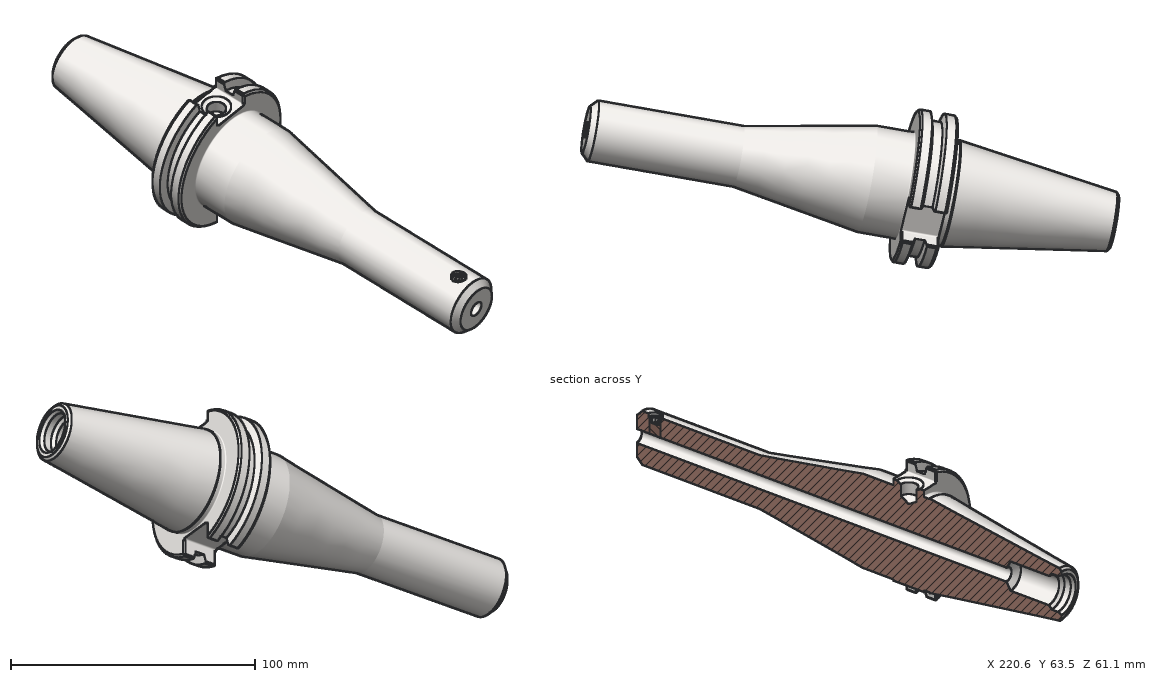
import cadquery as cq
import math

overall_length = 220.6
taper_length = 68.5
flange_start = 71.5
flange_end = 87.4
groove_middle = 79.5
neck_end = 103.3
reducer_end = 156.9

taper_large_diameter = 44.4
taper_ratio = 7 / 24
taper_small_diameter = taper_large_diameter - taper_length * taper_ratio
taper_tip_chamfer = 1.0
relief_diameter = 44.0
relief_start = taper_length + 0.5
neck_diameter = 44.4
root_fillet = 0.5
shank_diameter = 25.4
nose_chamfer = 2.9

flange_diameter = 63.5
flange_chamfer = 0.9
groove_floor_diameter = 56.3
groove_floor_width = 4.0
groove_mouth_width = 6.2

slot_width = 16.0
slot_edge_chamfer = 0.7
upper_slot_floor = 25.0
lower_slot_floor = 22.7
slot_corner_radius = 0.7

seat_rim_diameter = 12.1
seat_diameter = 10.1
seat_drill_diameter = 8.0
seat_rim_depth = 0.7
seat_depth = 1.0
seat_drill_depth = 6.6
drill_point_angle = 118.0

bore_diameter = 6.5
mouth_diameter = 18.5
mouth_depth = 1.8
pilot_diameter = 16.5
pilot_depth = 5.0
thread_diameter = 13.5
thread_start = 6.6
thread_depth = 26.5

screw_position = 211.2
screw_diameter = 5.3
screw_hole_rim_diameter = 6.5
screw_socket_size = 2.9
screw_socket_depth = 2.2
screw_socket_angle = 30.0
screw_top = 11.0
screw_bottom = bore_diameter / 2


def drill_point_height(diameter):
    """Height of the cone a drill leaves over the given change in diameter."""
    return diameter / 2 / math.tan(math.radians(drill_point_angle / 2))


def revolve_profile(points):
    """Turn (x, radius) points about the X axis."""
    return cq.Workplane("XY").polyline(points).close().revolve(360, (0, 0, 0), (1, 0, 0))


def make_blank():
    """The turned outside, without the flange."""
    tip_radius = taper_small_diameter / 2
    shank_radius = shank_diameter / 2
    return revolve_profile([
        (0, 0),
        (0, tip_radius - taper_tip_chamfer),
        (taper_tip_chamfer, tip_radius + taper_tip_chamfer * taper_ratio / 2),
        (taper_length, taper_large_diameter / 2),
        (relief_start, relief_diameter / 2),
        (flange_start, relief_diameter / 2),
        (flange_end, neck_diameter / 2),
        (neck_end, neck_diameter / 2),
        (reducer_end, shank_radius),
        (overall_length - nose_chamfer, shank_radius),
        (overall_length, shank_radius - nose_chamfer),
        (overall_length, 0),
    ])


def make_slot(floor_height):
    """Cutter for an upward-open drive slot whose wall edges are chamfered."""
    half_width = slot_width / 2
    flared_half_width = half_width + slot_edge_chamfer
    flange_width = flange_end - flange_start
    rim_height = math.sqrt((flange_diameter / 2) ** 2 - flared_half_width ** 2)
    chamfer_start = rim_height - slot_edge_chamfer

    channel = (
        cq.Workplane("XY", origin=(flange_start, 0, floor_height))
        .box(flange_width, slot_width, flange_diameter, centered=(False, True, False))
        .edges("|X and <Z")
        .fillet(slot_corner_radius)
    )
    rim_flare = (
        cq.Workplane("YZ", origin=(flange_start, 0, 0))
        .moveTo(-half_width, chamfer_start)
        .lineTo(half_width, chamfer_start)
        .lineTo(flared_half_width, rim_height)
        .lineTo(flared_half_width, flange_diameter)
        .lineTo(-flared_half_width, flange_diameter)
        .lineTo(-flared_half_width, rim_height)
        .close()
        .extrude(flange_width)
    )
    face_flare = (
        cq.Workplane("XY", origin=(0, 0, floor_height + slot_corner_radius))
        .moveTo(flange_start, -flared_half_width)
        .lineTo(flange_start + slot_edge_chamfer, -half_width)
        .lineTo(flange_end - slot_edge_chamfer, -half_width)
        .lineTo(flange_end, -flared_half_width)
        .lineTo(flange_end, flared_half_width)
        .lineTo(flange_end - slot_edge_chamfer, half_width)
        .lineTo(flange_start + slot_edge_chamfer, half_width)
        .lineTo(flange_start, flared_half_width)
        .close()
        .extrude(flange_diameter)
    )
    return channel.union(rim_flare).union(face_flare)


def make_flange():
    """The V-grooved flange with its two drive slots."""
    rim = flange_diameter / 2
    floor = groove_floor_diameter / 2
    flange = revolve_profile([
        (flange_start, 0),
        (flange_start, rim - flange_chamfer),
        (flange_start + flange_chamfer, rim),
        (groove_middle - groove_mouth_width / 2, rim),
        (groove_middle - groove_floor_width / 2, floor),
        (groove_middle + groove_floor_width / 2, floor),
        (groove_middle + groove_mouth_width / 2, rim),
        (flange_end - flange_chamfer, rim),
        (flange_end, rim - flange_chamfer),
        (flange_end, 0),
    ])
    upper_slot = make_slot(upper_slot_floor)
    lower_slot = make_slot(lower_slot_floor).rotate((0, 0, 0), (1, 0, 0), 180)
    return flange.cut(upper_slot).cut(lower_slot)


def make_bore():
    """Cutter for the stepped bore along the whole axis."""
    return revolve_profile([
        (0, 0),
        (0, mouth_diameter / 2),
        (mouth_depth, pilot_diameter / 2),
        (pilot_depth, pilot_diameter / 2),
        (thread_start, thread_diameter / 2),
        (thread_depth, thread_diameter / 2),
        (thread_depth + drill_point_height(thread_diameter - bore_diameter), bore_diameter / 2),
        (overall_length, bore_diameter / 2),
        (overall_length, 0),
    ])


def make_root_fillet(face_position, diameter, direction):
    """Concave fillet ring where the shaft meets a flange face."""
    radius = diameter / 2
    side = direction * root_fillet
    outer = radius + root_fillet
    bend = root_fillet * (1 - math.sqrt(0.5))
    return (
        cq.Workplane("XY")
        .moveTo(face_position, radius)
        .lineTo(face_position + side, radius)
        .threePointArc((face_position + direction * bend, radius + bend), (face_position, outer))
        .close()
        .revolve(360, (0, 0, 0), (1, 0, 0))
    )


def make_seat_hole():
    """Stepped blind hole with a drill point."""
    drill_bottom = upper_slot_floor - seat_drill_depth
    return (
        cq.Workplane("XZ")
        .moveTo(0, upper_slot_floor)
        .lineTo(seat_rim_diameter / 2, upper_slot_floor)
        .lineTo(seat_diameter / 2, upper_slot_floor - seat_rim_depth)
        .lineTo(seat_drill_diameter / 2, upper_slot_floor - seat_depth)
        .lineTo(seat_drill_diameter / 2, drill_bottom)
        .lineTo(0, drill_bottom - drill_point_height(seat_drill_diameter))
        .close()
        .revolve(360, (0, 0, 0), (0, 1, 0))
        .translate(((flange_start + flange_end) / 2, 0, 0))
    )


def make_screw_hole():
    """Cutter for the radial screw hole, wider above the screw."""
    shaft = cq.Workplane("XY").circle(screw_diameter / 2).extrude(shank_diameter)
    rim = (
        cq.Workplane("XY", origin=(0, 0, screw_top))
        .circle(screw_hole_rim_diameter / 2)
        .extrude(shank_diameter)
    )
    return shaft.union(rim).translate((screw_position, 0, 0))


def make_holder():
    """The taper shank holder with its flange, bore and holes."""
    holder = make_blank().union(make_flange())
    holder = holder.union(make_root_fillet(flange_start, relief_diameter, -1))
    holder = holder.union(make_root_fillet(flange_end, neck_diameter, 1))
    return holder.cut(make_bore()).cut(make_seat_hole()).cut(make_screw_hole())


def make_set_screw():
    """Headless screw with a hexagon socket, ending at the bore."""
    return (
        cq.Workplane("XY", origin=(screw_position, 0, screw_bottom))
        .circle(screw_diameter / 2)
        .extrude(screw_top - screw_bottom)
        .faces(">Z")
        .workplane()
        .transformed(rotate=(0, 0, screw_socket_angle))
        .polygon(6, screw_socket_size, circumscribed=True)
        .cutBlind(-screw_socket_depth)
    )


holder = make_holder()
set_screw = make_set_screw()
result = cq.Compound.makeCompound([holder.val(), set_screw.val()])